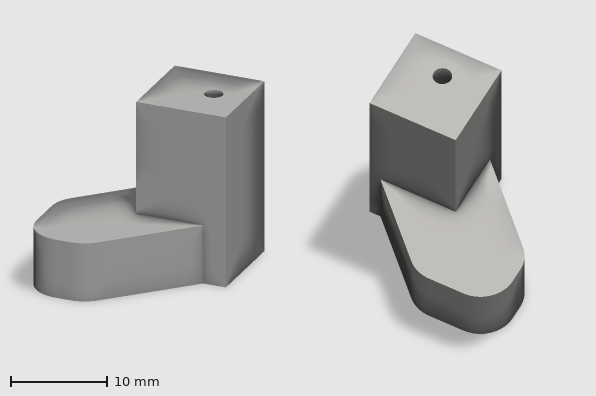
import cadquery as cq

post_side = 10.16
post_height = 19.33
post_half = post_side / 2

arm_height = 6.6
arm_reach_x = 8.87
arm_reach_y = 9.41
arm_left_length = 9.41
arm_front_length = 7.05
arm_corner_radius = 3.81

hole_diameter = 2.03
hole_depth = 5.08
hole_to_right_face = 3.556


def make_post():
    return cq.Workplane("XY").box(post_side, post_side, post_height, centered=(True, True, False))


def make_arm():
    left = -post_half - arm_reach_x
    front = -post_half - arm_reach_y
    left_corner = (left, front + arm_left_length)
    near_corner = (left, front)
    front_corner = (left + arm_front_length, front)
    left_root = (-post_half, left_corner[1] + arm_reach_x)
    front_root = (front_corner[0] + arm_reach_y, -post_half)
    outline = [left_root, left_corner, near_corner, front_corner, front_root]
    arm = cq.Workplane("XY").polyline(outline).close().extrude(arm_height)
    for x, y in (left_corner, near_corner, front_corner):
        corner_edge = cq.selectors.NearestToPointSelector((x, y, arm_height / 2))
        arm = arm.edges(corner_edge).fillet(arm_corner_radius)
    return arm


def drill_hole(body):
    hole_x = post_half - hole_to_right_face
    hole = (
        cq.Workplane("XY", origin=(hole_x, 0, post_height - hole_depth))
        .circle(hole_diameter / 2)
        .extrude(hole_depth)
    )
    return body.cut(hole)


result = drill_hole(make_post().union(make_arm()))